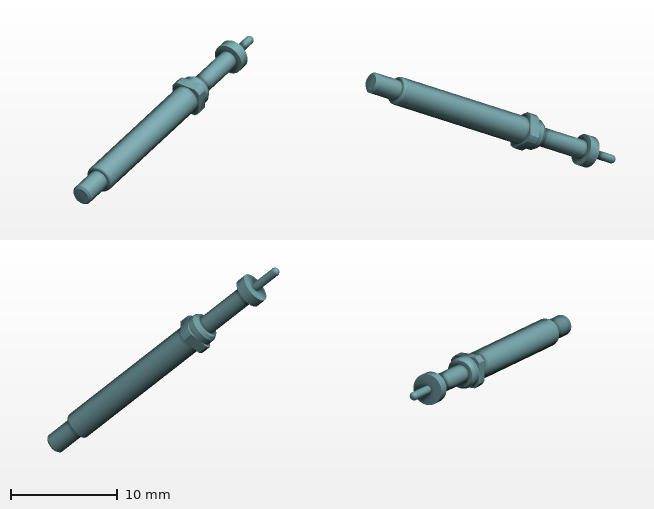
import cadquery as cq

total_length = 29.3
end_length = 3.0
body_length = 15.0
square_length = 1.0
collar_length = 1.0
shank_length = 5.3
flange_length = 1.03
contact_length = (
    total_length - end_length - body_length - square_length
    - collar_length - shank_length - flange_length
)

end_diameter = 2.0
body_diameter = 2.7
square_width = 3.0
square_corner_diameter = 3.6
collar_diameter = square_width
shank_diameter = 1.82
flange_diameter = square_width
contact_diameter = 0.82

end_chamfer = 0.2
body_round = 0.25
collar_bevel_length = 0.35
collar_bevel_depth = 0.2

end_start = -total_length / 2
body_start = end_start + end_length
square_start = body_start + body_length
collar_start = square_start + square_length
shank_start = collar_start + collar_length
flange_start = shank_start + shank_length
contact_start = flange_start + flange_length


def rod(start, length, diameter):
    """Round section along +Y, beginning at Y = start."""
    plane = cq.Workplane("XZ", origin=(0, start, 0))
    return plane.circle(diameter / 2).extrude(-length)


def square_section():
    """Square block whose four corners are turned down to a common cylinder."""
    plane = cq.Workplane("XZ", origin=(0, square_start, 0))
    block = plane.rect(square_width, square_width).extrude(-square_length)
    return block.intersect(rod(square_start, square_length, square_corner_diameter))


def beveled_collar():
    """Round collar with a bevel, longer than it is deep, on its +Y edge."""
    straight_length = collar_length - collar_bevel_length
    straight = rod(collar_start, straight_length, collar_diameter)
    bevel = (
        straight.faces(">Y").workplane()
        .circle(collar_diameter / 2)
        .workplane(offset=collar_bevel_length)
        .circle(collar_diameter / 2 - collar_bevel_depth)
        .loft(combine=False)
    )
    return straight.union(bevel)


def domed_contact():
    """Thin contact pin ending in a hemisphere at the +Y end."""
    radius = contact_diameter / 2
    straight_length = contact_length - radius
    dome = cq.Workplane("XY", origin=(0, contact_start + straight_length, 0)).sphere(radius)
    return rod(contact_start, straight_length, contact_diameter).union(dome)


plunger_end = rod(end_start, end_length, end_diameter).faces("<Y").edges().chamfer(end_chamfer)
body = rod(body_start, body_length, body_diameter).faces("<Y").edges().fillet(body_round)
shank = rod(shank_start, shank_length, shank_diameter)
flange = rod(flange_start, flange_length, flange_diameter)

result = plunger_end
for section in (body, square_section(), beveled_collar(), shank, flange, domed_contact()):
    result = result.union(section)